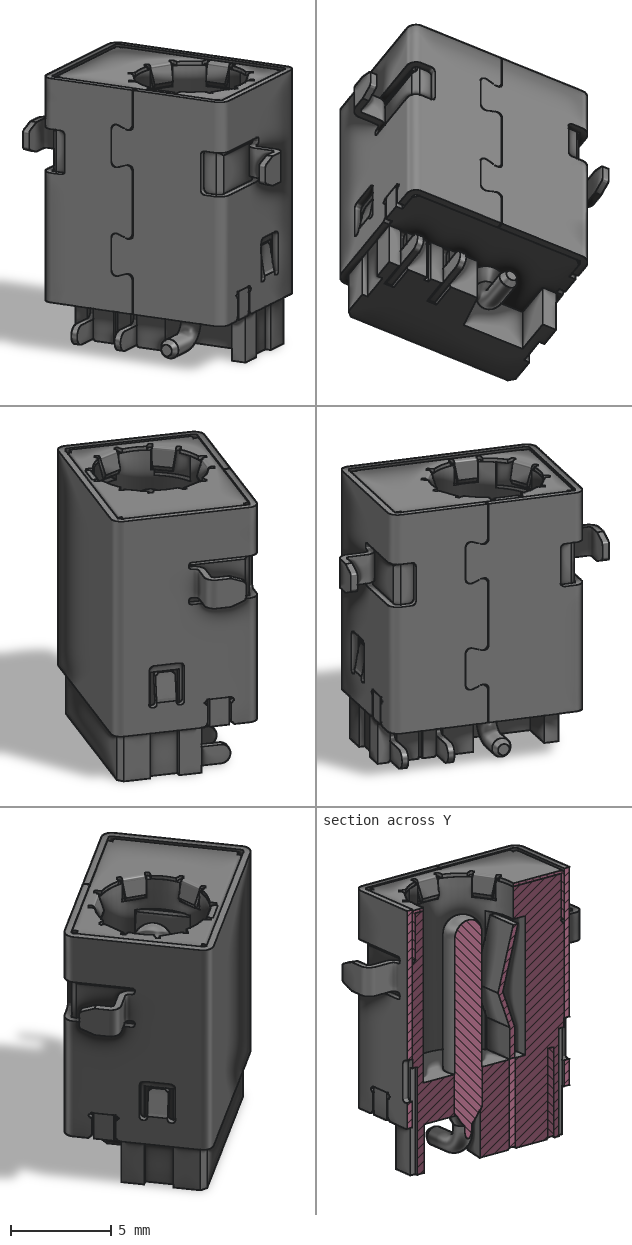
import cadquery as cq
import math

TOTAL_HEIGHT = 14.2
SHELL_WIDTH = 10.34
SHELL_DEPTH = 7.6
SHELL_BOTTOM = 2.58
SHELL_RADIUS = 0.54
SHEET = 0.35
OUTER_X = SHELL_WIDTH / 2
OUTER_Y = SHELL_DEPTH / 2
INNER_X = OUTER_X - SHEET
INNER_Y = OUTER_Y - SHEET
INNER_RADIUS = SHELL_RADIUS - SHEET
SLOT_END_ROUNDING = 0.45

SEAM_GAP = 0.05
TAB_GAP = 0.01
TAB_CENTRES = (5.55, 11.19)
TAB_LENGTH = 1.2
TAB_NECK = 0.78
TAB_HEAD = 1.22
TAB_RADIUS = 0.28

EAR_SPAN = 13.75
EAR_Z = 10.44
EAR_HEIGHT = 1.53
EAR_ROOT_Y = -0.34
EAR_END_Y = -2.6
EAR_TAPER_LENGTH = 0.78
EAR_TIP_HEIGHT = 0.94
EAR_TIP_RADIUS = 0.2
ROOT_BEND = 0.23
LEG_BEND = 0.17
EAR_WINDOW_HEIGHT = 2.27
EAR_WINDOW_X = 3.85
EAR_WINDOW_RADIUS = 0.24
RELIEF_END_Y = -0.11

LATCH_Y = 1.04
LATCH_WIDTH = 1.02
LATCH_BOTTOM = 4.2
LATCH_TOP = 5.71
LATCH_LEAN = 0.28
LATCH_BEND_HEIGHT = 0.15
LATCH_BEND_LEAN = 0.05
LATCH_CHAMFER = 0.17
LATCH_WINDOW_WIDTH = 1.83
LATCH_WINDOW_TOP = 6.22
LATCH_WINDOW_BOTTOM = 3.96
LATCH_WINDOW_RADIUS = 0.28

NOTCH_Y = -1.7
NOTCH_WIDTH = 1.22
NOTCH_FLARE_WIDTH = 1.56
NOTCH_TOP = 4.08
NOTCH_RELIEF_HEIGHT = 0.34
NOTCH_MOUTH = 0.17
RIB_WIDTH = 1.02

CAP_TOP = 14.15
CAP_SHEET = 0.2
CAP_SKIRT_BOTTOM = 11.49
CAP_BEND_LEFT = 0.18
CAP_BEND_RIGHT = 0.11
CAP_BEND_BACK = 0.27
CAP_NOTCH_X = 0.38
CAP_NOTCH_Y = 0.27
CAP_BOTTOM = CAP_TOP - CAP_SHEET
BORE_X = 1.26
BORE_RADIUS = 2.88
TONGUE_ANGLES = [30 + 60 * i for i in range(6)]
TONGUE_WIDTH = 1.22
TONGUE_TIP_WIDTH = 1.02
TONGUE_DROP = 1.19
TONGUE_ROOT_RADIUS = 3.01
TONGUE_BEND_RADIUS = 2.84
TONGUE_TIP_RADIUS = 2.57
TONGUE_TIP_RETURN = 0.11
TONGUE_TIP_LENGTH = 0.24
SLIT_WIDTH = 0.24
SLIT_END_ROUNDING = 0.09
SLIT_END_RADIUS = 3.12

HOUSING_CHAMFER = 0.28
HOUSING_FRONT_Y = -0.88
BORE_FLOOR = 4.83
POCKET_DROP = 1.28
POCKET_HALF_ANGLE = 13
CORNER_POCKET_ANGLES = (40, -40)
CORNER_POCKET_HALF_ANGLE = 20
CORNER_POCKET_DROP = 1.56
CORNER_POCKET_RADIUS = 3.3
GROOVE_Y = LATCH_Y
GROOVE_WIDTH = 1.49
GROOVE_DEPTH = 0.3
GROOVE_TOP = 5.74
RECESS_LEFT = 0.28
RECESS_LEFT_DEEP = 0.65
RECESS_RIGHT = 4.05
RECESS_FLOOR_Y = 1.14
SLOT_X = -2.53
SLOT_WIDTH = 0.23
SLOT_DEPTH = 0.23
MOUTH_CHAMFER = 0.1

PIN_RADIUS = 1.0
PIN_DOME_Z = 11.95
PIN_CONE_TOP = 2.78
PIN_CONE_BOTTOM = 1.9
TAIL_RADIUS = 0.5
TAIL_Z = 0.58
TAIL_BEND = 1.0
TAIL_END_Y = -2.58
TAIL_TIP_RADIUS = 0.3
TAIL_TIP_LENGTH = 0.34

TERMINAL_SHEET = 0.34
TERMINAL_XS = (-3.98, -1.52)
TERMINAL_FRONT_Y = -0.57
TERMINAL_BACK_Y = 0.57
LEG_BOTTOM = 0.1
LEG_TOP = 1.12
LEG_END_Y = -2.58
LEG_TIP_LENGTH = 0.44
TERMINAL_CORNER_RADIUS = 0.27

LEAF_X = TERMINAL_XS[1]
LEAF_SHEET = TERMINAL_SHEET
LEAF_WIDTH = 2.81
LEAF_APEX_X = -0.61
LEAF_APEX_Z = 8.52
LEAF_STRAIGHT_TOP = 6.53
LEAF_TOP_X = -1.92
LEAF_TOP = 11.93
LEAF_CHANNEL_X = -2.35
LEAF_CHANNEL_TOP = 12.21

SIDES = (-1, 1)


def block(x0, x1, y0, y1, z0, z1):
    """Axis-aligned box between two corners."""
    return cq.Workplane("XY").box(x1 - x0, y1 - y0, z1 - z0, centered=False).translate((x0, y0, z0))


def on_side(shape, side):
    """A shape drawn for the -X side, mirrored when it is wanted on the +X side."""
    return shape if side < 0 else shape.mirror("YZ")


def diagonal(radius):
    """Offset of an arc's middle from its centre along each axis."""
    return radius * math.sqrt(0.5)


def right_of_seam(root_x, tab_growth):
    """Region of the -Y wall to the right of the seam, tabs included."""
    y_start = -INNER_Y + SHEET / 2
    region = block(root_x, SHELL_WIDTH, -OUTER_Y - SHEET, y_start, 0, TOTAL_HEIGHT + SHEET)
    for z in TAB_CENTRES:
        neck = TAB_NECK + tab_growth
        head = TAB_HEAD + tab_growth
        end_x = -TAB_LENGTH - tab_growth
        tab = (
            cq.Workplane("XZ", origin=(0, y_start, z))
            .polyline([(root_x, -neck), (end_x, -head), (end_x, head), (root_x, neck)])
            .close()
            .extrude(y_start + OUTER_Y + SHEET)
            .edges("|Y and <X")
            .fillet(TAB_RADIUS)
        )
        region = region.union(tab)
    root_edges = cq.selectors.BoxSelector(
        (root_x - TAB_GAP, -SHELL_DEPTH, SHEET), (root_x + TAB_GAP, 0, TOTAL_HEIGHT)
    )
    return region.edges("|Y").edges(root_edges).fillet(TAB_RADIUS)


def seam():
    return right_of_seam(-SEAM_GAP / 2, TAB_GAP).cut(right_of_seam(SEAM_GAP / 2, 0))


def ear_window():
    """Opening around the ear, carried round the corner onto the -Y wall."""
    z0 = EAR_Z - EAR_WINDOW_HEIGHT / 2
    z1 = EAR_Z + EAR_WINDOW_HEIGHT / 2
    relief = (EAR_WINDOW_HEIGHT - EAR_HEIGHT) / 2
    opening = block(-SHELL_WIDTH, -EAR_WINDOW_X, -SHELL_DEPTH, -INNER_Y + INNER_RADIUS, z0, z1)
    opening = opening.edges("|Y and >X").fillet(EAR_WINDOW_RADIUS)
    opening = opening.union(block(-SHELL_WIDTH, -INNER_X + INNER_RADIUS, -SHELL_DEPTH, EAR_ROOT_Y, z0, z1))
    for z in (z0, z1 - relief):
        slot = block(-SHELL_WIDTH, -INNER_X + INNER_RADIUS, -INNER_Y, RELIEF_END_Y, z, z + relief)
        opening = opening.union(slot.edges("|X and >Y").fillet(SLOT_END_ROUNDING * relief))
    return opening


def ear():
    """Bent arm that leaves the -X wall and turns towards -Y."""
    root_outer = ROOT_BEND + SHEET
    leg_outer = LEG_BEND + SHEET
    end_x = -EAR_SPAN / 2
    arm_back = EAR_ROOT_Y - ROOT_BEND
    arm_front = arm_back - SHEET
    root_x = -OUTER_X - ROOT_BEND
    leg_x = end_x + leg_outer
    leg_y = arm_back - leg_outer
    bent = (
        cq.Workplane("XY", origin=(0, 0, EAR_Z - EAR_HEIGHT / 2))
        .moveTo(-OUTER_X, EAR_ROOT_Y)
        .threePointArc(
            (root_x + diagonal(ROOT_BEND), EAR_ROOT_Y - diagonal(ROOT_BEND)), (root_x, arm_back)
        )
        .lineTo(leg_x, arm_back)
        .threePointArc((leg_x - diagonal(leg_outer), leg_y + diagonal(leg_outer)), (end_x, leg_y))
        .lineTo(end_x, EAR_END_Y)
        .lineTo(end_x + SHEET, EAR_END_Y)
        .lineTo(end_x + SHEET, leg_y)
        .threePointArc((leg_x - diagonal(LEG_BEND), leg_y + diagonal(LEG_BEND)), (leg_x, arm_front))
        .lineTo(root_x, arm_front)
        .threePointArc(
            (root_x + diagonal(root_outer), EAR_ROOT_Y - diagonal(root_outer)), (-INNER_X, EAR_ROOT_Y)
        )
        .close()
        .extrude(EAR_HEIGHT)
    )
    half = EAR_HEIGHT / 2
    tip = EAR_TIP_HEIGHT / 2
    taper_y = EAR_END_Y + EAR_TAPER_LENGTH
    outline = (
        cq.Workplane("YZ", origin=(-EAR_SPAN, 0, EAR_Z))
        .polyline(
            [(0, -half), (0, half), (taper_y, half), (EAR_END_Y, tip), (EAR_END_Y, -tip), (taper_y, -half)]
        )
        .close()
        .extrude(EAR_SPAN)
        .edges("|X and <Y")
        .fillet(EAR_TIP_RADIUS)
    )
    return bent.intersect(outline)


def latch_window():
    y0 = LATCH_Y - LATCH_WINDOW_WIDTH / 2
    y1 = LATCH_Y + LATCH_WINDOW_WIDTH / 2
    slit = (LATCH_WINDOW_WIDTH - LATCH_WIDTH) / 2
    x_in = -INNER_X + INNER_RADIUS
    opening = block(-SHELL_WIDTH, x_in, y0, y1, LATCH_BOTTOM, LATCH_WINDOW_TOP)
    opening = opening.edges("|X and >Z").fillet(LATCH_WINDOW_RADIUS)
    for y in (y0, y1 - slit):
        leg = block(-SHELL_WIDTH, x_in, y, y + slit, LATCH_WINDOW_BOTTOM, LATCH_TOP)
        opening = opening.union(leg.edges("|X and <Z").fillet(SLOT_END_ROUNDING * slit))
    return opening


def latch():
    """Tongue leaning inwards from the lower edge of its window."""
    return (
        cq.Workplane("XZ", origin=(0, LATCH_Y + LATCH_WIDTH / 2, 0))
        .polyline(
            [
                (-OUTER_X, LATCH_BOTTOM),
                (-INNER_X, LATCH_BOTTOM),
                (-INNER_X + LATCH_BEND_LEAN, LATCH_BOTTOM + LATCH_BEND_HEIGHT),
                (-INNER_X + LATCH_LEAN, LATCH_TOP),
                (-OUTER_X + LATCH_LEAN, LATCH_TOP),
                (-OUTER_X + LATCH_BEND_LEAN, LATCH_BOTTOM + LATCH_BEND_HEIGHT),
            ]
        )
        .close()
        .extrude(LATCH_WIDTH)
        .faces(">Z")
        .edges("|X")
        .chamfer(LATCH_CHAMFER)
    )


def edge_notch():
    """Notch at the lower edge, wider at its top corners and at its mouth."""
    half = NOTCH_WIDTH / 2
    flare = NOTCH_FLARE_WIDTH / 2
    relief_middle = NOTCH_TOP - NOTCH_RELIEF_HEIGHT / 2
    relief_bottom = NOTCH_TOP - NOTCH_RELIEF_HEIGHT
    mouth_top = SHELL_BOTTOM + NOTCH_MOUTH
    left = [
        (-flare, SHELL_BOTTOM),
        (-half, mouth_top),
        (-half, relief_bottom),
        (-flare, relief_middle),
        (-half, NOTCH_TOP),
    ]
    right = [(-y, z) for y, z in reversed(left)]
    return (
        cq.Workplane("YZ", origin=(-SHELL_WIDTH, NOTCH_Y, 0))
        .polyline(left + right)
        .close()
        .extrude(SHELL_WIDTH - INNER_X)
    )


def make_shell():
    shell = block(-OUTER_X, OUTER_X, -OUTER_Y, OUTER_Y, SHELL_BOTTOM, TOTAL_HEIGHT)
    shell = shell.edges("|Z").fillet(SHELL_RADIUS)
    cavity = block(-INNER_X, INNER_X, -INNER_Y, INNER_Y, SHELL_BOTTOM, TOTAL_HEIGHT)
    shell = shell.cut(cavity.edges("|Z").fillet(INNER_RADIUS)).cut(seam())
    for side in SIDES:
        for opening in (ear_window(), latch_window(), edge_notch()):
            shell = shell.cut(on_side(opening, side))
        for tongue in (ear(), latch()):
            shell = shell.union(on_side(tongue, side))
    return shell


def around_bore(shape, angle):
    """Place a shape drawn along +X from the origin at an angle around the bore axis."""
    return shape.rotate((0, 0, 0), (0, 0, 1), angle).translate((BORE_X, 0, 0))


def tongue_clearance():
    """Plate opening for one tongue, with a slit on each side."""
    half = TONGUE_WIDTH / 2 + SLIT_WIDTH
    opening = block(0, TONGUE_ROOT_RADIUS, -half, half, CAP_BOTTOM, CAP_TOP)
    for y in (-half, half - SLIT_WIDTH):
        slit = block(0, SLIT_END_RADIUS, y, y + SLIT_WIDTH, CAP_BOTTOM, CAP_TOP)
        opening = opening.union(slit.edges("|Z and >X").fillet(SLIT_END_ROUNDING))
    return opening


def spring_tongue():
    """Tongue bent down from the plate and leaning towards the bore axis."""
    tip_z = CAP_TOP - TONGUE_DROP
    bend = TONGUE_ROOT_RADIUS - TONGUE_BEND_RADIUS
    bent = (
        cq.Workplane("XZ", origin=(0, TONGUE_WIDTH / 2, 0))
        .moveTo(TONGUE_ROOT_RADIUS + CAP_SHEET, CAP_TOP)
        .lineTo(TONGUE_ROOT_RADIUS, CAP_TOP)
        .threePointArc(
            (TONGUE_ROOT_RADIUS - diagonal(bend), CAP_TOP - bend + diagonal(bend)),
            (TONGUE_BEND_RADIUS, CAP_TOP - bend),
        )
        .lineTo(TONGUE_TIP_RADIUS, tip_z + TONGUE_TIP_LENGTH)
        .lineTo(TONGUE_TIP_RADIUS + TONGUE_TIP_RETURN, tip_z)
        .lineTo(TONGUE_TIP_RADIUS + CAP_SHEET, tip_z)
        .lineTo(TONGUE_BEND_RADIUS + CAP_SHEET, CAP_BOTTOM)
        .lineTo(TONGUE_ROOT_RADIUS + CAP_SHEET, CAP_BOTTOM)
        .close()
        .extrude(TONGUE_WIDTH)
    )
    root_half = TONGUE_WIDTH / 2
    tip_half = TONGUE_TIP_WIDTH / 2
    outline = (
        cq.Workplane("YZ")
        .polyline(
            [
                (-root_half, CAP_TOP),
                (root_half, CAP_TOP),
                (root_half, CAP_BOTTOM),
                (tip_half, tip_z),
                (-tip_half, tip_z),
                (-root_half, CAP_BOTTOM),
            ]
        )
        .close()
        .extrude(SHELL_WIDTH)
    )
    return bent.intersect(outline)


def make_cap():
    cap = block(-INNER_X, INNER_X, -INNER_Y, INNER_Y, CAP_SKIRT_BOTTOM, CAP_TOP)
    cap = cap.faces(">Z").edges("<X").fillet(CAP_BEND_LEFT)
    cap = cap.faces(">Z").edges(">X").fillet(CAP_BEND_RIGHT)
    cap = cap.faces(">Z").edges(">Y").fillet(CAP_BEND_BACK)
    core_x = INNER_X - CAP_SHEET
    cap = cap.cut(block(-core_x, core_x, -INNER_Y, INNER_Y - CAP_SHEET, CAP_SKIRT_BOTTOM, CAP_BOTTOM))
    corner = cq.Workplane("XY").rect(2 * INNER_X, 2 * INNER_Y, forConstruction=True).vertices()
    cap = cap.cut(corner.rect(2 * CAP_NOTCH_X, 2 * CAP_NOTCH_Y).extrude(TOTAL_HEIGHT))
    cap = cap.cut(cq.Workplane("XY").center(BORE_X, 0).circle(BORE_RADIUS).extrude(TOTAL_HEIGHT))
    for angle in TONGUE_ANGLES:
        cap = cap.cut(around_bore(tongue_clearance(), angle))
        cap = cap.union(around_bore(spring_tongue(), angle))
    return cap


def make_pin():
    """Domed post that tapers into a thinner tail bent towards -Y."""
    bend_top = TAIL_Z + TAIL_BEND
    post = (
        cq.Workplane("XZ")
        .moveTo(0, bend_top)
        .lineTo(TAIL_RADIUS, bend_top)
        .lineTo(TAIL_RADIUS, PIN_CONE_BOTTOM)
        .lineTo(PIN_RADIUS, PIN_CONE_TOP)
        .lineTo(PIN_RADIUS, PIN_DOME_Z)
        .threePointArc(
            (diagonal(PIN_RADIUS), PIN_DOME_Z + diagonal(PIN_RADIUS)), (0, PIN_DOME_Z + PIN_RADIUS)
        )
        .close()
        .revolve(360, (0, 0, 0), (0, 1, 0))
    )
    elbow = (
        cq.Workplane("XY", origin=(0, 0, bend_top))
        .circle(TAIL_RADIUS)
        .revolve(90, (0, -TAIL_BEND, 0), (-1, -TAIL_BEND, 0))
    )
    tail = (
        cq.Workplane("XZ", origin=(0, -TAIL_BEND, TAIL_Z))
        .circle(TAIL_RADIUS)
        .extrude(-TAIL_END_Y - TAIL_BEND)
        .faces("<Y")
        .chamfer(TAIL_TIP_LENGTH, TAIL_RADIUS - TAIL_TIP_RADIUS)
    )
    return post.union(elbow).union(tail).translate((BORE_X, 0, 0))


def make_terminal(x):
    """Upright flat strip with a round-ended leg that turns towards -Y at its foot."""
    leg_middle = (LEG_BOTTOM + LEG_TOP) / 2
    leg_arc_y = LEG_END_Y + LEG_TIP_LENGTH
    strip = (
        cq.Workplane("YZ", origin=(x - TERMINAL_SHEET / 2, 0, 0))
        .moveTo(TERMINAL_BACK_Y, LEG_BOTTOM)
        .lineTo(TERMINAL_BACK_Y, BORE_FLOOR)
        .lineTo(HOUSING_FRONT_Y, BORE_FLOOR)
        .lineTo(HOUSING_FRONT_Y, SHELL_BOTTOM)
        .lineTo(TERMINAL_FRONT_Y, SHELL_BOTTOM)
        .lineTo(TERMINAL_FRONT_Y, LEG_TOP)
        .lineTo(leg_arc_y, LEG_TOP)
        .threePointArc((LEG_END_Y, leg_middle), (leg_arc_y, LEG_BOTTOM))
        .close()
        .extrude(TERMINAL_SHEET)
    )
    for z in (LEG_TOP, SHELL_BOTTOM):
        inner_corner = cq.selectors.NearestToPointSelector((x, TERMINAL_FRONT_Y, z))
        strip = strip.edges("|X").edges(inner_corner).fillet(TERMINAL_CORNER_RADIUS)
    return strip


def make_leaf():
    """Wide spring leaf that stands on the bore floor and bulges into the bore."""
    back = LEAF_X - LEAF_SHEET / 2
    front = LEAF_X + LEAF_SHEET / 2
    return (
        cq.Workplane("XZ", origin=(0, LEAF_WIDTH / 2, 0))
        .polyline(
            [
                (back, BORE_FLOOR),
                (front, BORE_FLOOR),
                (front, LEAF_STRAIGHT_TOP),
                (LEAF_APEX_X, LEAF_APEX_Z),
                (LEAF_TOP_X + LEAF_SHEET, LEAF_TOP),
                (LEAF_TOP_X, LEAF_TOP),
                (LEAF_APEX_X - LEAF_SHEET, LEAF_APEX_Z),
                (back, LEAF_STRAIGHT_TOP),
            ]
        )
        .close()
        .extrude(LEAF_WIDTH)
    )


def ring_pocket(angle, half_angle, radius, drop):
    """Sector around the bore axis, cut into the bore wall behind a tongue."""
    sector = (
        cq.Workplane("XZ", origin=(0, 0, CAP_TOP - drop))
        .rect(radius, drop, centered=False)
        .revolve(2 * half_angle, (0, 0, 0), (0, 1, 0))
    )
    return around_bore(sector, angle - half_angle)


def housing_body():
    """Block filling the shell, stepped in under the cap and cut back at the foot."""
    body = block(-INNER_X, INNER_X, -INNER_Y, INNER_Y, 0, CAP_BOTTOM).edges("|Z").chamfer(HOUSING_CHAMFER)
    body = body.cut(block(-INNER_X, INNER_X, -INNER_Y, HOUSING_FRONT_Y, 0, SHELL_BOTTOM))
    core_x = INNER_X - CAP_SHEET
    core_y = INNER_Y - CAP_SHEET
    lower = block(-INNER_X, INNER_X, -INNER_Y, INNER_Y, 0, CAP_SKIRT_BOTTOM)
    lower = lower.faces(">Z").edges("|Y or >Y").chamfer(CAP_SHEET)
    core = block(-core_x, core_x, -INNER_Y, core_y, 0, CAP_BOTTOM)
    return body.intersect(lower.union(core))


def bore():
    hole = cq.Workplane("XY", origin=(BORE_X, 0, BORE_FLOOR)).circle(BORE_RADIUS).extrude(TOTAL_HEIGHT)
    channel = block(LEAF_CHANNEL_X, 0, -LEAF_WIDTH / 2, LEAF_WIDTH / 2, BORE_FLOOR, LEAF_CHANNEL_TOP)
    hole = hole.union(channel)
    for angle in TONGUE_ANGLES:
        hole = hole.union(ring_pocket(angle, POCKET_HALF_ANGLE, SLIT_END_RADIUS, POCKET_DROP))
    for angle in CORNER_POCKET_ANGLES:
        pocket = ring_pocket(angle, CORNER_POCKET_HALF_ANGLE, CORNER_POCKET_RADIUS, CORNER_POCKET_DROP)
        hole = hole.union(pocket)
    return hole


def foot_recess():
    """Recess in the foot that clears the tail of the pin; its left wall is sloped."""
    return (
        cq.Workplane("XY")
        .polyline(
            [
                (RECESS_LEFT, HOUSING_FRONT_Y),
                (RECESS_LEFT_DEEP, RECESS_FLOOR_Y),
                (RECESS_RIGHT, RECESS_FLOOR_Y),
                (RECESS_RIGHT, HOUSING_FRONT_Y),
            ]
        )
        .close()
        .extrude(SHELL_BOTTOM)
    )


def terminal_slot(x):
    """Slot that lets a terminal into the foot, flared at its lower end."""
    half = TERMINAL_SHEET / 2
    wide = half + MOUTH_CHAMFER
    return (
        cq.Workplane("XZ", origin=(x, TERMINAL_BACK_Y, 0))
        .polyline(
            [
                (-wide, 0),
                (-half, MOUTH_CHAMFER),
                (-half, SHELL_BOTTOM),
                (half, SHELL_BOTTOM),
                (half, MOUTH_CHAMFER),
                (wide, 0),
            ]
        )
        .close()
        .extrude(TERMINAL_BACK_Y - HOUSING_FRONT_Y)
    )


def latch_groove():
    y0 = GROOVE_Y - GROOVE_WIDTH / 2
    return block(-INNER_X, -INNER_X + GROOVE_DEPTH, y0, y0 + GROOVE_WIDTH, 0, GROOVE_TOP)


def notch_rib():
    y0 = NOTCH_Y - RIB_WIDTH / 2
    return block(-OUTER_X, -INNER_X, y0, y0 + RIB_WIDTH, SHELL_BOTTOM, NOTCH_TOP)


def make_housing(inserts):
    housing = housing_body().cut(bore()).cut(foot_recess())
    half_slot = SLOT_WIDTH / 2
    slot_floor_y = HOUSING_FRONT_Y + SLOT_DEPTH
    slot = block(SLOT_X - half_slot, SLOT_X + half_slot, HOUSING_FRONT_Y, slot_floor_y, 0, SHELL_BOTTOM)
    housing = housing.cut(slot)
    for x in TERMINAL_XS:
        housing = housing.cut(terminal_slot(x))
    for side in SIDES:
        housing = housing.cut(on_side(latch_groove(), side)).union(on_side(notch_rib(), side))
    for insert in inserts:
        housing = housing.cut(insert)
    return housing


shell = make_shell()
cap = make_cap()
pin = make_pin()
leaf = make_leaf()
terminals = [make_terminal(x) for x in TERMINAL_XS]
housing = make_housing([pin, leaf, *terminals])

result = cq.Compound.makeCompound(
    [
        shell.solids().val(),
        cap.solids().val(),
        housing.solids().val(),
        pin.solids().val(),
        leaf.solids().val(),
        *[terminal.solids().val() for terminal in terminals],
    ]
)